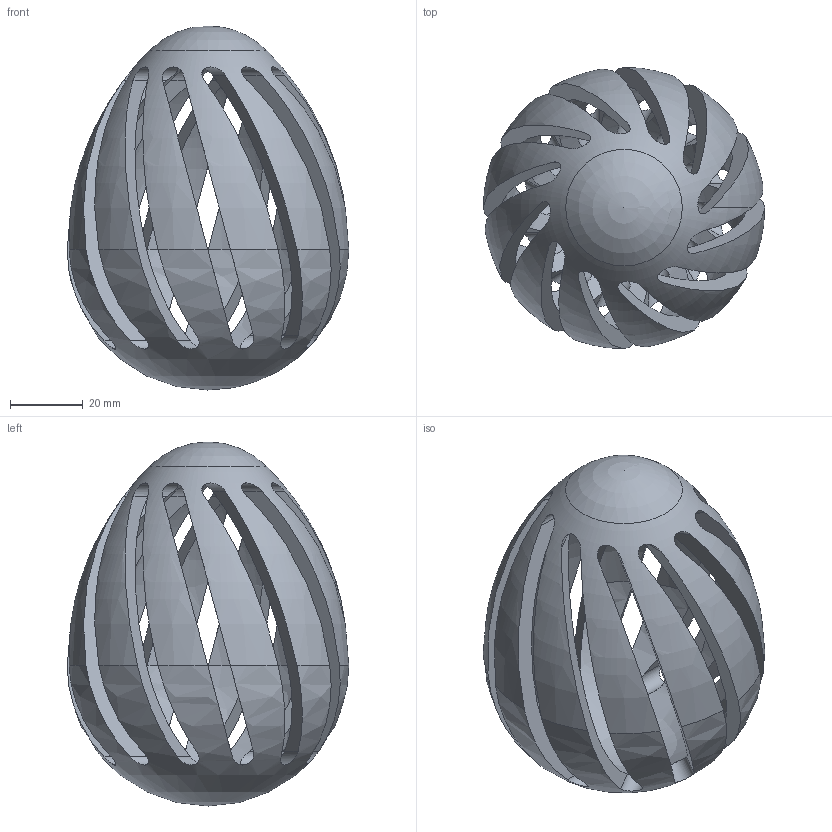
import cadquery as cq
import math

EGG_HEIGHT = 100.0
WALL = 5.0
SLOT_COUNT = 12
SLOT_LENGTH = 80.0
SLOT_WIDTH = 6.0
SLOT_TILT = 15.0

CAP_ANGLE = 45.0
BELLY_RADIUS = EGG_HEIGHT / (4 - math.sqrt(2))
FLANK_RADIUS = 2 * BELLY_RADIUS
CAP_RADIUS = FLANK_RADIUS - BELLY_RADIUS * math.sqrt(2)

MID_HEIGHT = EGG_HEIGHT / 2 - BELLY_RADIUS


def polar(radius, angle, center_x=0.0, center_z=0.0):
    """Point on a circle in the XZ plane, with the angle in degrees from +X."""
    turn = math.radians(angle)
    return center_x + radius * math.cos(turn), center_z + radius * math.sin(turn)


def egg(inset):
    """Solid egg with its equator on Z = 0, shrunk inwards by the inset."""
    belly = BELLY_RADIUS - inset
    flank = FLANK_RADIUS - inset
    cap = CAP_RADIUS - inset
    profile = (
        cq.Workplane("XZ")
        .moveTo(0, -belly)
        .threePointArc(polar(belly, -45), (belly, 0))
        .threePointArc(
            polar(flank, CAP_ANGLE / 2, center_x=-BELLY_RADIUS),
            polar(flank, CAP_ANGLE, center_x=-BELLY_RADIUS),
        )
        .threePointArc(
            polar(cap, (CAP_ANGLE + 90) / 2, center_z=BELLY_RADIUS),
            (0, BELLY_RADIUS + cap),
        )
        .close()
    )
    return profile.revolve(360, (0, 0, 0), (0, 1, 0))


def slot_cutter(angle):
    """Tilted round-ended slot running from the axis out through one side wall."""
    return (
        cq.Workplane("XZ")
        .center(0, MID_HEIGHT)
        .slot2D(SLOT_LENGTH, SLOT_WIDTH, 90 + SLOT_TILT)
        .extrude(FLANK_RADIUS)
        .rotate((0, 0, 0), (0, 0, 1), angle)
    )


def slotted_shell():
    """Hollow egg with a ring of evenly spaced slots through its wall."""
    shell = egg(0).cut(egg(WALL))
    for index in range(SLOT_COUNT):
        shell = shell.cut(slot_cutter(index * 360 / SLOT_COUNT))
    return shell


result = slotted_shell()